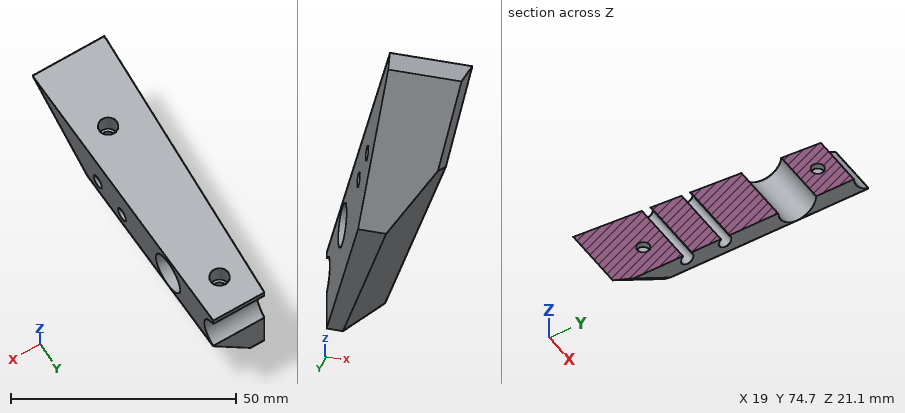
import cadquery as cq

length = 74.7
height = 21.14
nose_width = 19.0
tail_width = 13.5

nose_run = 2.0
nose_drop = 3.2
underside_start = 37.6

bottom_chamfer = 9.75
ramp_chamfer = 2.0

large_hole_diameter = 10.0
large_hole_y = 56.0
large_hole_spacing = 20.0
large_hole_depth_below_top = 6.3
small_hole_diameter = 3.3
small_hole_y = 27.0
small_hole_spacing = 10.0
small_hole_depth_below_top = 7.8

top_hole_x = -7.2
top_hole_y = 20.0
top_hole_spacing = 46.0
top_hole_diameter = 4.5
top_hole_depth = 5.0
pilot_diameter = 3.1
pilot_depth = 8.0


def make_body():
    """Side profile trimmed to the tapered plan outline."""
    profile = (
        cq.Workplane("YZ")
        .polyline([
            (0, height),
            (nose_run, height - nose_drop),
            (underside_start, 0),
            (length, 0),
            (length, height),
        ])
        .close()
        .extrude(-nose_width)
    )
    plan = (
        cq.Workplane("XY")
        .polyline([(0, 0), (-nose_width, 0), (-tail_width, length), (0, length)])
        .close()
        .extrude(height)
    )
    return profile.intersect(plan)


def make_bottom_chamfer():
    """Wedge along the lower edge of the straight side wall."""
    return (
        cq.Workplane("XZ")
        .polyline([(0, 0), (-bottom_chamfer, 0), (0, bottom_chamfer)])
        .close()
        .extrude(-length)
    )


def make_ramp_chamfer():
    """Equal-leg wedge along the edge between the ramp and the straight side wall."""
    ramp_run = underside_start - nose_run
    ramp_rise = height - nose_drop
    section = cq.Plane(
        origin=(0, nose_run, height - nose_drop),
        xDir=(1, 0, 0),
        normal=(0, ramp_run, -ramp_rise),
    )
    return (
        cq.Workplane(section)
        .polyline([(0, 0), (-ramp_chamfer, 0), (0, -ramp_chamfer)])
        .close()
        .extrude(length, both=True)
    )


def make_cross_hole(diameter, y, depth_below_top):
    """Cylinder along X through the full width."""
    return (
        cq.Workplane("YZ")
        .center(y, height - depth_below_top)
        .circle(diameter / 2)
        .extrude(-nose_width)
    )


def make_top_hole(y):
    """Wide upper bore with a narrower pilot continuing below it."""
    top = cq.Workplane("XY", origin=(top_hole_x, y, height))
    return (
        top.circle(top_hole_diameter / 2).extrude(-top_hole_depth)
        .union(top.circle(pilot_diameter / 2).extrude(-pilot_depth))
    )


result = make_body().cut(make_bottom_chamfer()).cut(make_ramp_chamfer())

for index in range(2):
    large_y = large_hole_y + index * large_hole_spacing
    small_y = small_hole_y + index * small_hole_spacing
    top_y = top_hole_y + index * top_hole_spacing
    result = result.cut(make_cross_hole(large_hole_diameter, large_y, large_hole_depth_below_top))
    result = result.cut(make_cross_hole(small_hole_diameter, small_y, small_hole_depth_below_top))
    result = result.cut(make_top_hole(top_y))